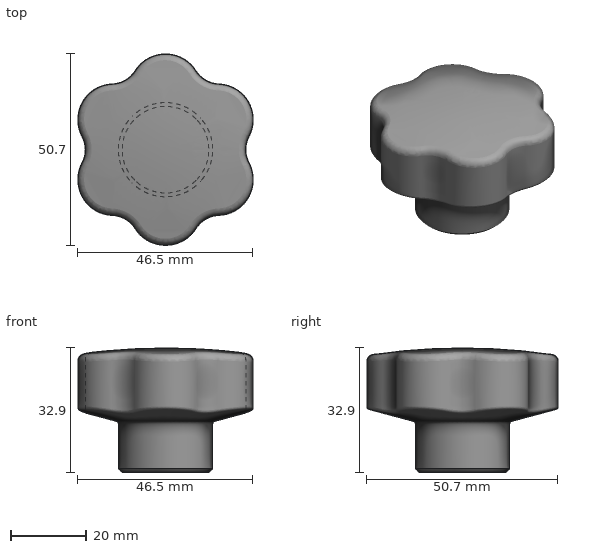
import cadquery as cq
import math

total_height = 32.95
outer_radius = 25.35

lobe_count = 6
lobe_pitch = 360 / lobe_count
lobe_radius = 9.5
lobe_center_radius = outer_radius - lobe_radius
valley_radius = 7.5
half_pitch = math.radians(lobe_pitch / 2)
valley_corner = math.asin(lobe_center_radius * math.sin(half_pitch) / (lobe_radius + valley_radius))
lobe_half_arc = math.degrees(half_pitch + valley_corner)
center_distance_ratio = math.sin(half_pitch + valley_corner) / math.sin(half_pitch)
valley_center_radius = (lobe_radius + valley_radius) * center_distance_ratio
valley_floor_radius = valley_center_radius - valley_radius

dome_radius = 167.25
crown_fillet = 2.0
underside_angle = 15.0
rim_fillet = 0.8

stem_diameter = 25.0
stem_radius = stem_diameter / 2
underside_start = 13.4
stem_chamfer = 1.0
neck_fillet = 0.65

clearance = 2.55


def polar(radius, angle):
    """Point at an angle in degrees around the axis."""
    turn = math.radians(angle)
    return (radius * math.cos(turn), radius * math.sin(turn))


def tangent_point(lobe_angle, side):
    """Where a lobe runs into the valley before it (side -1) or after it (side 1)."""
    center_x, center_y = polar(lobe_center_radius, lobe_angle)
    offset_x, offset_y = polar(lobe_radius, lobe_angle + side * lobe_half_arc)
    return (center_x + offset_x, center_y + offset_y)


def make_lobed_prism():
    first_lobe = 90.0
    outline = cq.Workplane("XY").moveTo(*tangent_point(first_lobe, -1))
    for i in range(lobe_count):
        angle = first_lobe + i * lobe_pitch
        lobe_tip = polar(outer_radius, angle)
        valley_floor = polar(valley_floor_radius, angle + lobe_pitch / 2)
        outline = outline.threePointArc(lobe_tip, tangent_point(angle, 1))
        outline = outline.threePointArc(valley_floor, tangent_point(angle + lobe_pitch, -1))
    return outline.close().extrude(total_height)


def make_grip_envelope():
    """Turned body with a domed top and a conical underside."""
    edge = outer_radius + clearance
    cone_edge = underside_start + (edge - stem_radius) * math.tan(math.radians(underside_angle))
    cone_apex = underside_start - stem_radius * math.tan(math.radians(underside_angle))

    def dome_height(radius):
        return total_height - dome_radius + math.sqrt(dome_radius**2 - radius**2)

    return (
        cq.Workplane("XZ")
        .moveTo(0, cone_apex)
        .lineTo(edge, cone_edge)
        .lineTo(edge, dome_height(edge))
        .threePointArc((edge / 2, dome_height(edge / 2)), (0, total_height))
        .close()
        .revolve(360, (0, 0, 0), (0, 1, 0))
    )


def make_grip():
    grip = make_lobed_prism().intersect(make_grip_envelope())
    grip = grip.faces(">Z").edges().fillet(crown_fillet)
    return grip.faces("<Z").edges().fillet(rim_fillet)


def make_stem():
    stem = cq.Workplane("XY").circle(stem_radius).extrude(underside_start + clearance)
    return stem.faces("<Z").edges().chamfer(stem_chamfer)


knob = make_grip().union(make_stem())
neck_edge = cq.selectors.BoxSelector(
    (-outer_radius, -outer_radius, underside_start - neck_fillet),
    (outer_radius, outer_radius, underside_start + neck_fillet),
)
result = knob.edges(neck_edge).edges("%CIRCLE").fillet(neck_fillet)